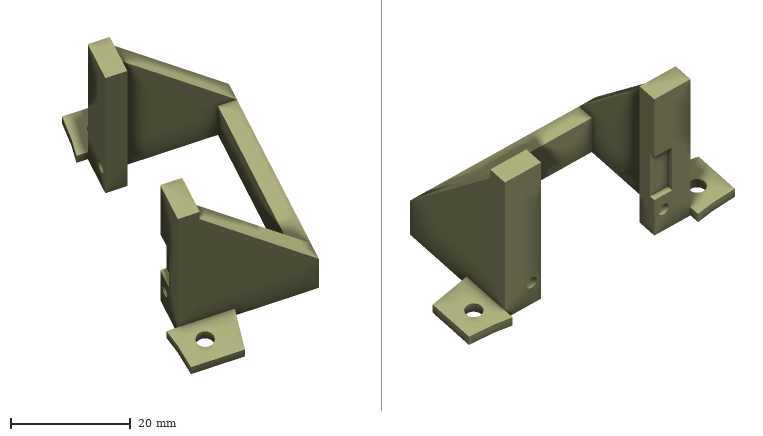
import cadquery as cq

total_width = 56.6
total_depth = 27.5
total_height = 32.0

tab_width = 8.55
tab_thickness = 1.9
tab_back_inner = 15.15
tab_back_outer = 16.85
tab_front_outer = 26.6
tab_front_bend = 26.95
tab_bend_offset = 3.5
tab_hole_diameter = 3.2
tab_hole_inset = 4.5
tab_hole_from_back = 22.2

wall_thickness = 3.55
wall_back_height = 8.05
wall_top_drop = 2.05
beam_depth = 3.45
beam_height = 8.05

post_width = 7.7
post_depth = 3.95
post_front = 25.45
post_hole_diameter = 2.3
post_hole_inset = 2.0
post_hole_height = 5.0

pocket_width = 3.8
pocket_depth = 1.15
pocket_bottom = 8.3
pocket_top = 18.4

wall_outer = total_width / 2 - tab_width
wall_inner = wall_outer - wall_thickness
post_inner = wall_outer - post_width
post_back = post_front - post_depth


def box(x_min, x_max, y_min, y_max, z_min, z_max):
    """Block between the given coordinate limits."""
    size = (x_max - x_min, y_max - y_min, z_max - z_min)
    return cq.Workplane("XY").box(*size, centered=False).translate((x_min, y_min, z_min))


def make_wall():
    """Right side wall, sloping from the post down to the low back end."""
    return (
        cq.Workplane("YZ", origin=(wall_inner, 0, 0))
        .polyline([
            (0, 0),
            (-post_back, 0),
            (-post_back, total_height - wall_top_drop),
            (0, wall_back_height),
        ])
        .close()
        .extrude(wall_thickness)
    )


def make_post():
    """Right front post with a horizontal hole through its depth."""
    post = box(post_inner, wall_outer, -post_front, -post_back, 0, total_height)
    hole = (
        cq.Workplane("XZ", origin=(0, -post_back, 0))
        .center(post_inner + post_hole_inset, post_hole_height)
        .circle(post_hole_diameter / 2)
        .extrude(post_depth)
    )
    return post.cut(hole)


def make_tab():
    """Right mounting tab with a vertical screw hole."""
    tab_outer = total_width / 2
    tab = (
        cq.Workplane("XY")
        .polyline([
            (wall_outer, -tab_back_inner),
            (tab_outer, -tab_back_outer),
            (tab_outer, -tab_front_outer),
            (wall_outer + tab_bend_offset, -tab_front_bend),
            (wall_outer, -total_depth),
        ])
        .close()
        .extrude(tab_thickness)
    )
    hole = (
        cq.Workplane("XY")
        .center(tab_outer - tab_hole_inset, -tab_hole_from_back)
        .circle(tab_hole_diameter / 2)
        .extrude(tab_thickness)
    )
    return tab.cut(hole)


right_side = make_wall().union(make_post()).union(make_tab())
left_side = right_side.mirror("YZ")
beam = box(-wall_inner, wall_inner, -beam_depth, 0, 0, beam_height)
frame = beam.union(right_side).union(left_side)

pocket = box(
    post_inner, post_inner + pocket_width,
    -post_front, -post_front + pocket_depth,
    pocket_bottom, pocket_top,
)
result = frame.cut(pocket)